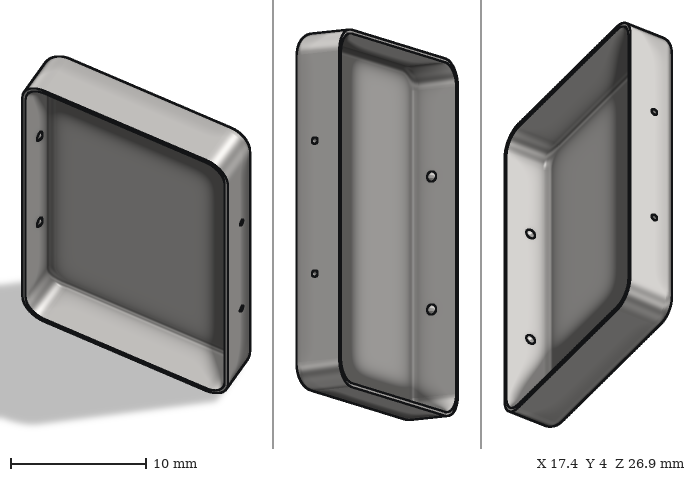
import cadquery as cq

width = 17.4
depth = 4.0
height = 26.9
wall = 0.3
corner_radius = 1.88
floor_edge_radius = 0.8

dimple_spacing = 10.0
dimple_from_back = 1.9
dimple_radius = 0.25
bump_radius = 0.48

back_y = depth / 2
front_y = -depth / 2


def rounded_block(inset, length):
    """Block running back from the open rim, inset evenly from the tray's outer sides."""
    return (
        cq.Workplane("XZ", origin=(0, front_y, 0))
        .rect(width - 2 * inset, height - 2 * inset)
        .extrude(-length)
        .edges("|Y")
        .fillet(corner_radius - inset)
        .faces(">Y")
        .edges()
        .fillet(floor_edge_radius - inset)
    )


def spheres_on_side_walls(radius):
    """Spheres centred on the outer faces of both long walls, at each dimple place."""
    dimple_y = back_y - dimple_from_back
    centres = [
        (x, dimple_y, z)
        for x in (-width / 2, width / 2)
        for z in (-dimple_spacing / 2, dimple_spacing / 2)
    ]
    return cq.Workplane("XY").pushPoints(centres).sphere(radius, direct=(1, 0, 0))


outer = rounded_block(0, depth)
cavity = rounded_block(wall, depth - wall)

bumps = spheres_on_side_walls(bump_radius).intersect(outer)
dimples = spheres_on_side_walls(dimple_radius)

result = outer.cut(cavity).union(bumps).cut(dimples)